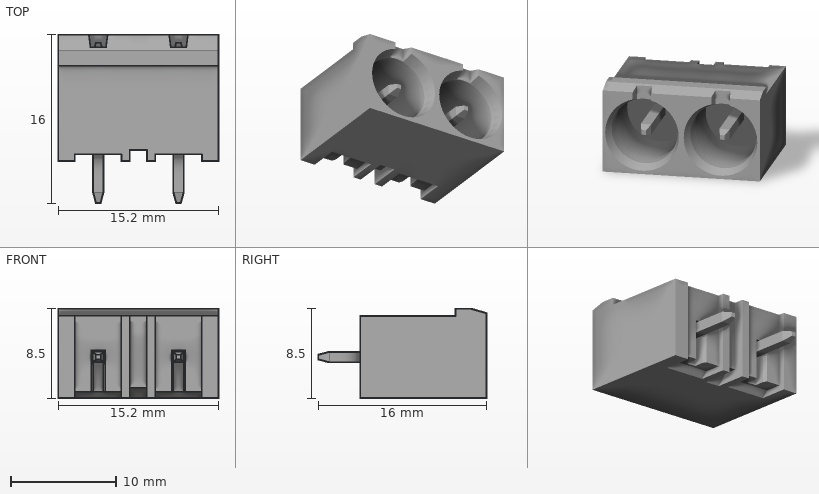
import cadquery as cq
import math

POLES = 2
PITCH = 7.62
WIDTH = POLES * PITCH
BODY_LENGTH = 12.0
BODY_HEIGHT = 7.8
TOTAL_HEIGHT = 8.5

LIP_LENGTH = 2.98
LIP_BEVEL_LENGTH = 1.5
LIP_BEVEL_DROP = 0.43

END_LEG_WIDTH = 1.6
RIB_WIDTH = 0.82
CENTRE_WIDTH = 1.6
POLE_RECESS_DEPTH = 0.64
POLE_CHANNEL_HEIGHT = 0.6
CENTRE_RECESS_DEPTH = 1.02
CENTRE_CHANNEL_HEIGHT = 1.0
CHANNEL_END_Y = 2.4
CHANNEL_END_ANGLE = 45.0

PIN_SIZE = 1.0
PIN_TAIL = 4.0
PIN_Z = BODY_HEIGHT / 2
PIN_TIP_SIZE = 0.45
PIN_TIP_LENGTH = 1.04
PIN_INSET = 0.77

POCKET_SIZE = 1.31
POCKET_END_Y = 2.08
SLOT_WIDTH = 0.98
SLOT_TAPER_DEPTH = 0.4

CAVITY_RADIUS = 3.2
CAVITY_DEPTH = 8.32
LEAD_IN_LENGTH = 1.28
LEAD_IN_RADIUS = 3.57

NOTCH_LENGTH = 1.2
NOTCH_MOUTH_WIDTH = 1.8
NOTCH_INNER_WIDTH = 1.47

pole_xs = [(i - (POLES - 1) / 2) * PITCH for i in range(POLES)]


def side_profile(points, x_start, x_end):
    """Extrude a (y, z) outline along X."""
    outline = cq.Workplane("YZ").workplane(offset=x_start).polyline(points).close()
    return outline.extrude(x_end - x_start)


def plan_profile(points, z_start, z_end):
    """Extrude an (x, y) outline along Z."""
    outline = cq.Workplane("XY").workplane(offset=z_start).polyline(points).close()
    return outline.extrude(z_end - z_start)


def housing():
    points = [
        (0, 0),
        (BODY_LENGTH, 0),
        (BODY_LENGTH, TOTAL_HEIGHT - LIP_BEVEL_DROP),
        (BODY_LENGTH - LIP_BEVEL_LENGTH, TOTAL_HEIGHT),
        (BODY_LENGTH - LIP_LENGTH, TOTAL_HEIGHT),
        (BODY_LENGTH - LIP_LENGTH, BODY_HEIGHT),
        (0, BODY_HEIGHT),
    ]
    return side_profile(points, -WIDTH / 2, WIDTH / 2)


def recess(x_start, x_end, depth, channel_height):
    """Recess in the end face plus an underside channel that runs out on a slope."""
    slope_run = channel_height / math.tan(math.radians(CHANNEL_END_ANGLE))
    points = [
        (0, 0),
        (CHANNEL_END_Y + slope_run, 0),
        (CHANNEL_END_Y, channel_height),
        (depth, channel_height),
        (depth, BODY_HEIGHT),
        (0, BODY_HEIGHT),
    ]
    return side_profile(points, x_start, x_end)


def pin_relief(x):
    """Square pocket around the pin and the tapered slot below it."""
    wall_y = POLE_RECESS_DEPTH
    taper_end_y = wall_y + SLOT_TAPER_DEPTH
    pocket_bottom = PIN_Z - POCKET_SIZE / 2
    half_pocket = POCKET_SIZE / 2
    half_slot = SLOT_WIDTH / 2
    pocket = plan_profile(
        [
            (x - half_pocket, wall_y),
            (x + half_pocket, wall_y),
            (x + half_pocket, POCKET_END_Y),
            (x - half_pocket, POCKET_END_Y),
        ],
        pocket_bottom,
        pocket_bottom + POCKET_SIZE,
    )
    slot = plan_profile(
        [
            (x - half_pocket, wall_y),
            (x + half_pocket, wall_y),
            (x + half_slot, taper_end_y),
            (x + half_slot, POCKET_END_Y),
            (x - half_slot, POCKET_END_Y),
            (x - half_slot, taper_end_y),
        ],
        POLE_CHANNEL_HEIGHT,
        pocket_bottom,
    )
    return pocket.union(slot)


def mating_cavity(x):
    """Round cavity with a conical lead-in and a notch through the lip."""
    lead_in_y = BODY_LENGTH - LEAD_IN_LENGTH
    half_section = [
        (0, BODY_LENGTH - CAVITY_DEPTH),
        (CAVITY_RADIUS, BODY_LENGTH - CAVITY_DEPTH),
        (CAVITY_RADIUS, lead_in_y),
        (LEAD_IN_RADIUS, BODY_LENGTH),
        (0, BODY_LENGTH),
    ]
    bore = cq.Workplane("XY").polyline(half_section).close().revolve(360, (0, 0), (0, 1))
    notch = plan_profile(
        [
            (x - NOTCH_INNER_WIDTH / 2, BODY_LENGTH - NOTCH_LENGTH),
            (x + NOTCH_INNER_WIDTH / 2, BODY_LENGTH - NOTCH_LENGTH),
            (x + NOTCH_MOUTH_WIDTH / 2, BODY_LENGTH),
            (x - NOTCH_MOUTH_WIDTH / 2, BODY_LENGTH),
        ],
        PIN_Z,
        TOTAL_HEIGHT,
    )
    return bore.translate((x, 0, PIN_Z)).union(notch)


def pin(x):
    """Square pin tapered at both ends."""
    length = PIN_TAIL + BODY_LENGTH - PIN_INSET
    shank_length = length - 2 * PIN_TIP_LENGTH
    taper = math.degrees(math.atan((PIN_SIZE - PIN_TIP_SIZE) / 2 / PIN_TIP_LENGTH))
    half = (
        cq.Workplane("XZ")
        .rect(PIN_SIZE, PIN_SIZE)
        .extrude(shank_length / 2)
        .faces("<Y")
        .workplane()
        .rect(PIN_SIZE, PIN_SIZE)
        .extrude(PIN_TIP_LENGTH, taper=taper)
    )
    whole = half.union(half.mirror("XZ"))
    return whole.translate((x, length / 2 - PIN_TAIL, PIN_Z))


result = housing()

half_centre = CENTRE_WIDTH / 2
result = result.cut(recess(-half_centre, half_centre, CENTRE_RECESS_DEPTH, CENTRE_CHANNEL_HEIGHT))

recess_inner_x = half_centre + RIB_WIDTH
recess_outer_x = WIDTH / 2 - END_LEG_WIDTH
for x_start, x_end in [(-recess_outer_x, -recess_inner_x), (recess_inner_x, recess_outer_x)]:
    result = result.cut(recess(x_start, x_end, POLE_RECESS_DEPTH, POLE_CHANNEL_HEIGHT))

for pole_x in pole_xs:
    result = result.cut(pin_relief(pole_x)).cut(mating_cavity(pole_x))
    result = result.union(pin(pole_x))